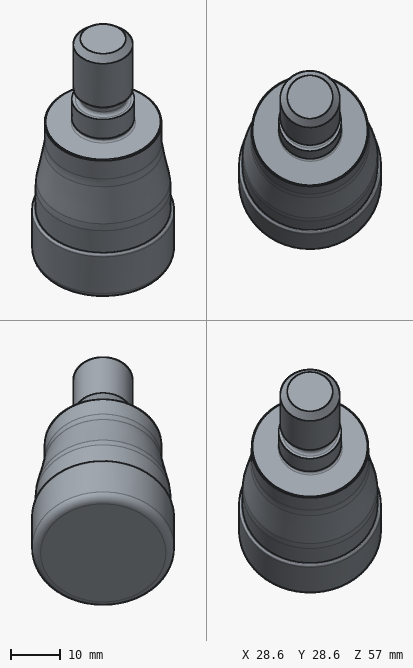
import cadquery as cq
import math

total_height = 57.0

cap_diameter = 28.55
cap_radius = cap_diameter / 2
cap_height = 11.9
cap_foot_fillet = 1.7
cap_rim_fillet = 0.45

shoulder_radius = 11.75
shoulder_top_z = 34.95
shoulder_chamfer = 0.2
taper_angle = math.radians(10)
upper_blend_top_z = 30.0
upper_blend_height = 1.95
lower_blend_top_z = 19.5
lower_blend_height = 1.7

stud_radius = 6.0
stud_tip_chamfer = 1.4
collar_radius = 6.25
collar_bottom_z = 35.9
collar_top_z = 41.0
neck_fillet = 0.45
groove_radius = 4.8
groove_fillet = 0.8
groove_cone_bottom_z = 42.8
groove_cone_height = stud_radius - groove_radius

blend_rise_ratio = math.tan(taper_angle / 2)
cone_top_radius = shoulder_radius + upper_blend_height * blend_rise_ratio
cone_top_z = upper_blend_top_z - upper_blend_height
cone_bottom_radius = cone_top_radius + (cone_top_z - lower_blend_top_z) * math.tan(taper_angle)
barrel_radius = cone_bottom_radius + lower_blend_height * blend_rise_ratio
barrel_top_z = lower_blend_top_z - lower_blend_height


def make_cap():
    """Solid foot cap with rounded lower and upper edges."""
    cap = cq.Workplane("XY").circle(cap_radius).extrude(cap_height)
    cap = cap.faces("<Z").edges().fillet(cap_foot_fillet)
    return cap.faces(">Z").edges().fillet(cap_rim_fillet)


def make_housing():
    """Tapered housing and its integral stud, revolved about Z."""
    profile = (
        cq.Workplane("XZ")
        .moveTo(0, cap_height)
        .lineTo(barrel_radius, cap_height)
        .lineTo(barrel_radius, barrel_top_z)
        .tangentArcPoint((cone_bottom_radius, lower_blend_top_z), relative=False)
        .lineTo(cone_top_radius, cone_top_z)
        .tangentArcPoint((shoulder_radius, upper_blend_top_z), relative=False)
        .lineTo(shoulder_radius, shoulder_top_z - shoulder_chamfer)
        .lineTo(shoulder_radius - shoulder_chamfer, shoulder_top_z)
        .lineTo(stud_radius + neck_fillet, shoulder_top_z)
        .tangentArcPoint((stud_radius, shoulder_top_z + neck_fillet), relative=False)
        .lineTo(stud_radius, collar_bottom_z)
        .lineTo(collar_radius, collar_bottom_z)
        .lineTo(collar_radius, collar_top_z)
        .lineTo(groove_radius + groove_fillet, collar_top_z)
        .tangentArcPoint((groove_radius, collar_top_z + groove_fillet), relative=False)
        .lineTo(groove_radius, groove_cone_bottom_z)
        .lineTo(stud_radius, groove_cone_bottom_z + groove_cone_height)
        .lineTo(stud_radius, total_height - stud_tip_chamfer)
        .lineTo(stud_radius - stud_tip_chamfer, total_height)
        .lineTo(0, total_height)
        .close()
    )
    return profile.revolve(360, (0, 0, 0), (0, 1, 0))


cap = make_cap()
housing = make_housing()

result = cq.Compound.makeCompound([cap.val(), housing.val()])